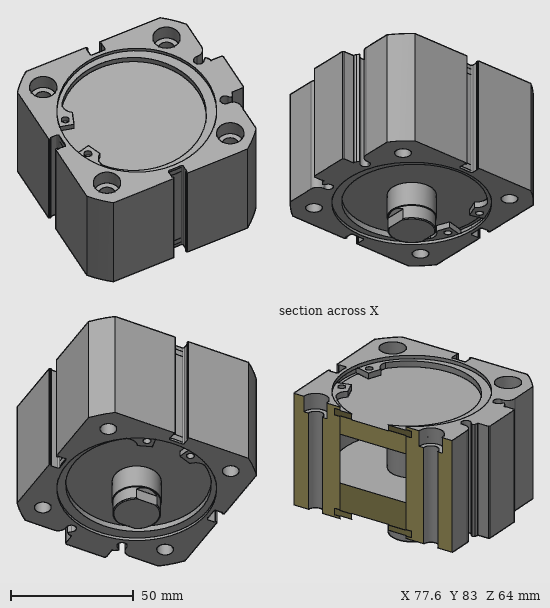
import cadquery as cq
import math


housing_half = 38.8
housing_height = 51.0
corner_radius = 49.5
bore_diameter = 65.0
bore_radius = bore_diameter / 2
cut_margin = 0.8

hole_offset = 28.2
hole_diameter = 6.8
counterbore_diameter = 11.1
counterbore_depth = 7.05

ring_radius = 33.9
ring_thickness = 2.65
top_ring_setback = 1.6
bottom_ring_setback = 1.3
ring_inner_radius = 29.6
ring_eccentricity = 1.5
gap_half_angle = 14.0
lug_outer_angle = 27.7
lug_inner_radius = 26.15
notch_bottom_angle = 31.6
notch_bottom_radius = 29.7
notch_end_angle = 36.0
lug_hole_angle = 20.0
lug_hole_radius = 29.3
lug_hole_diameter = 3.15

slot_floor = 34.1
slot_width = 6.7
slot_opening = 5.65
lip_thickness = 0.9
lip_chamfer = 0.29
slot_fillet = 0.6

overall_depth = 83.0
rail_top = overall_depth - housing_half
rail_half_width = 9.4
rail_chamfer = 0.5
rail_foot = 38.9
barb_crown = (10.9, 38.3)
barb_tip = (11.8, 37.4)
groove_centre = (11.7, 34.45)
groove_radius = 2.1
neck_angle = 60.0
shoulder_radius = 3.7

end_cover_thickness = 8.3
rod_cover_thickness = 12.45

rod_diameter = 20.0
rod_end_diameter = 19.5
rod_length_outside = 13.0
rod_shoulder_drop = 6.55
rod_end_chamfer = 0.4
flat_width = 17.0

top_ring_z = housing_height - top_ring_setback - ring_thickness
bottom_ring_z = bottom_ring_setback
end_cover_z = top_ring_z - end_cover_thickness
rod_cover_z = bottom_ring_z + ring_thickness


def polar_from_front(radius, angle, side=1):
    """Point at an angle in degrees from -Y, turned toward +X (side 1) or -X (side -1)."""
    turn = math.radians(angle)
    return (side * radius * math.sin(turn), -radius * math.cos(turn))


def sensor_slot(turn):
    """T-slot cutter for the -Y side, turned about Z."""
    cavity_depth = housing_half - lip_thickness - slot_floor
    cavity = (
        cq.Workplane("XY")
        .center(0, -slot_floor - cavity_depth / 2)
        .rect(slot_width, cavity_depth)
        .extrude(housing_height)
        .edges("|Z and >Y")
        .fillet(slot_fillet)
    )
    half = slot_opening / 2
    mouth = (
        cq.Workplane("XY")
        .moveTo(-half, -slot_floor - cavity_depth / 2)
        .lineTo(-half, -housing_half + lip_chamfer)
        .lineTo(-half - lip_chamfer, -housing_half)
        .lineTo(half + lip_chamfer, -housing_half)
        .lineTo(half, -housing_half + lip_chamfer)
        .lineTo(half, -slot_floor - cavity_depth / 2)
        .close()
        .extrude(housing_height)
    )
    return cavity.union(mouth).rotate((0, 0, 0), (0, 0, 1), turn)


def rail_groove():
    """Cutter for the space beside the rail on its +X flank."""
    centre_x, centre_y = groove_centre
    wall_x = centre_x + groove_radius
    shoulder_x = wall_x + shoulder_radius
    shoulder_y = housing_half - shoulder_radius
    shoulder_mid = shoulder_radius * math.sqrt(0.5)
    neck_turn = math.radians(neck_angle)
    neck = (
        centre_x - groove_radius * math.cos(neck_turn),
        centre_y + groove_radius * math.sin(neck_turn),
    )
    open_y = rail_top + cut_margin
    return (
        cq.Workplane("XY")
        .moveTo(rail_half_width, open_y)
        .lineTo(rail_half_width, rail_foot)
        .lineTo(*barb_crown)
        .lineTo(*barb_tip)
        .lineTo(*neck)
        .threePointArc((centre_x, centre_y - groove_radius), (wall_x, centre_y))
        .lineTo(wall_x, shoulder_y)
        .threePointArc((shoulder_x - shoulder_mid, shoulder_y + shoulder_mid), (shoulder_x, housing_half))
        .lineTo(shoulder_x, open_y)
        .close()
        .extrude(housing_height)
    )


def make_housing():
    block = cq.Workplane("XY").rect(2 * housing_half, 2 * housing_half).extrude(housing_height)
    block = block.intersect(cq.Workplane("XY").circle(corner_radius).extrude(housing_height))
    rail = (
        cq.Workplane("XY")
        .center(0, rail_top / 2)
        .rect(2 * rail_half_width, rail_top)
        .extrude(housing_height)
        .edges("|Z and >Y")
        .chamfer(rail_chamfer)
    )
    body = block.union(rail)

    flank = rail_groove()
    body = body.cut(flank).cut(flank.mirror("YZ"))
    for turn in (-90, 0, 90):
        body = body.cut(sensor_slot(turn))

    body = body.cut(cq.Workplane("XY").circle(bore_radius).extrude(housing_height))
    for groove_z in (bottom_ring_z, top_ring_z):
        groove = cq.Workplane("XY").workplane(offset=groove_z).circle(ring_radius).extrude(ring_thickness)
        body = body.cut(groove)

    return (
        body.faces(">Z")
        .workplane(origin=(0, 0, housing_height))
        .rect(2 * hole_offset, 2 * hole_offset, forConstruction=True)
        .vertices()
        .cboreHole(hole_diameter, counterbore_diameter, counterbore_depth)
    )


def notch_end(side):
    """Point on the shifted inner edge of a retaining ring where the notch beside a lug ends."""
    turn = math.radians(notch_end_angle)
    shift = ring_eccentricity * math.cos(turn)
    reach = math.sqrt(ring_inner_radius**2 - (ring_eccentricity * math.sin(turn)) ** 2)
    return polar_from_front(shift + reach, notch_end_angle, side)


def make_retaining_ring(base_z):
    """Internal retaining ring with its gap toward -Y and a plier hole in each lug."""
    ring = (
        cq.Workplane("XY")
        .workplane(offset=base_z)
        .moveTo(*polar_from_front(ring_radius, gap_half_angle))
        .threePointArc((0, ring_radius), polar_from_front(ring_radius, gap_half_angle, -1))
        .lineTo(*polar_from_front(lug_inner_radius, gap_half_angle, -1))
        .lineTo(*polar_from_front(lug_inner_radius, lug_outer_angle, -1))
        .threePointArc(polar_from_front(notch_bottom_radius, notch_bottom_angle, -1), notch_end(-1))
        .threePointArc((0, ring_inner_radius - ring_eccentricity), notch_end(1))
        .threePointArc(
            polar_from_front(notch_bottom_radius, notch_bottom_angle),
            polar_from_front(lug_inner_radius, lug_outer_angle),
        )
        .lineTo(*polar_from_front(lug_inner_radius, gap_half_angle))
        .close()
        .extrude(ring_thickness)
    )
    hole_places = [polar_from_front(lug_hole_radius, lug_hole_angle, side) for side in (-1, 1)]
    holes = (
        cq.Workplane("XY")
        .workplane(offset=base_z)
        .pushPoints(hole_places)
        .circle(lug_hole_diameter / 2)
        .extrude(ring_thickness)
    )
    return ring.cut(holes)


def make_end_cover():
    """Plain disc under the upper ring."""
    return cq.Workplane("XY").workplane(offset=end_cover_z).circle(bore_radius).extrude(end_cover_thickness)


def make_rod_cover():
    """Disc above the lower ring that guides the rod."""
    return (
        cq.Workplane("XY")
        .workplane(offset=rod_cover_z)
        .circle(bore_radius)
        .circle(rod_diameter / 2)
        .extrude(rod_cover_thickness)
    )


def make_rod():
    """Rod from the end cover down through the rod cover, with two wrench flats at its tip."""
    radius = rod_diameter / 2
    end_radius = rod_end_diameter / 2
    step = radius - end_radius
    tip_z = -rod_length_outside
    rod = (
        cq.Workplane("XZ")
        .moveTo(0, end_cover_z)
        .lineTo(radius, end_cover_z)
        .lineTo(radius, -rod_shoulder_drop)
        .lineTo(end_radius, -rod_shoulder_drop - step)
        .lineTo(end_radius, tip_z + rod_end_chamfer)
        .lineTo(end_radius - rod_end_chamfer, tip_z)
        .lineTo(0, tip_z)
        .close()
        .revolve(360, (0, 0, 0), (0, 1, 0))
    )

    flat = flat_width / 2
    ramp_foot_z = -rod_shoulder_drop - (radius - flat)
    flat_cutter = (
        cq.Workplane("YZ")
        .moveTo(flat, tip_z - cut_margin)
        .lineTo(flat, ramp_foot_z)
        .lineTo(radius, -rod_shoulder_drop)
        .lineTo(radius, tip_z - cut_margin)
        .close()
        .extrude(radius, both=True)
    )
    return rod.cut(flat_cutter).cut(flat_cutter.mirror("XZ"))


housing = make_housing()
retaining_rings = [make_retaining_ring(base_z) for base_z in (bottom_ring_z, top_ring_z)]
end_cover = make_end_cover()
rod_cover = make_rod_cover()
rod = make_rod()

result = cq.Compound.makeCompound(
    [
        housing.val(),
        *[ring.val() for ring in retaining_rings],
        end_cover.val(),
        rod_cover.val(),
        rod.val(),
    ]
)